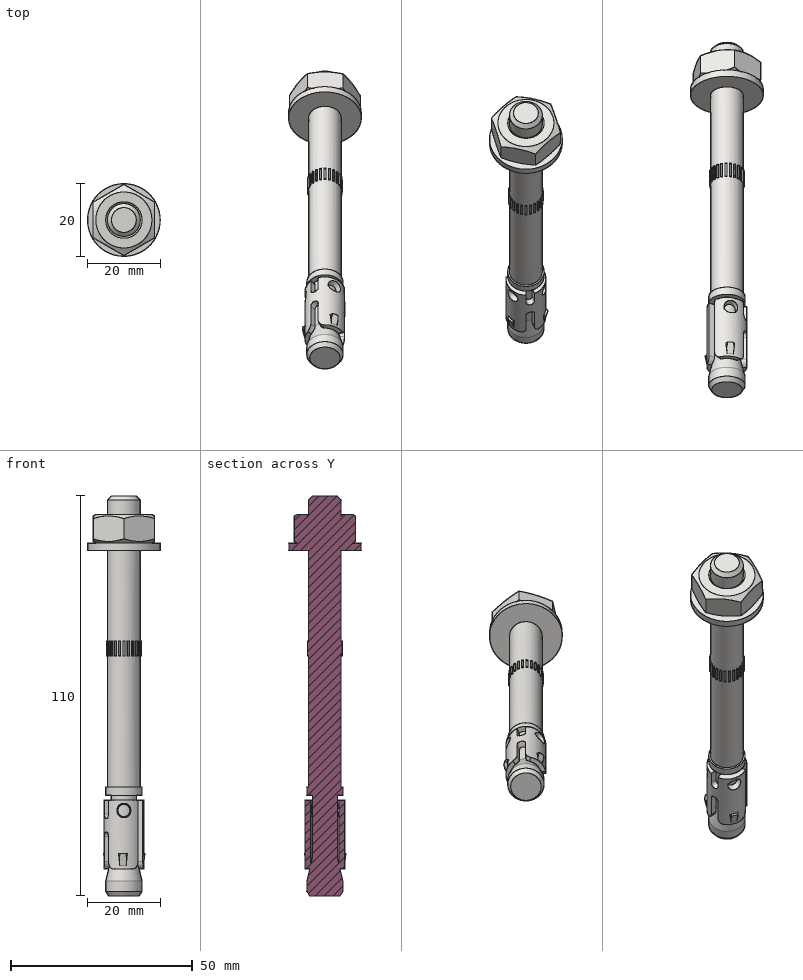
import cadquery as cq
import math


LENGTH = 110.0
SHANK_R = 9.0 / 2
TIP_CHAMFER = 1.1
NECK_R = 7.0 / 2
COLLAR_R = 10.0 / 2
COLLAR_BOTTOM = 27.7
COLLAR_TOP = 30.0
FOOT_CHAMFER_R = 4.2
FOOT_CHAMFER_TOP = 1.3
FOOT_TOP = 4.2
CONE_TOP = 10.5

MARK_BOTTOM = 66.0
MARK_TOP = 70.2
MARK_R = 9.7 / 2
RIB_COUNT = 24
RIB_WIDTH = 0.5

SLEEVE_R = 5.5
BORE_R = 3.8
SLEEVE_BOTTOM = 7.5
SLEEVE_TOP = 26.4
SPLIT_ANGLE = 327.5
SEGMENTS = 3
SLOT_PITCH = 360 / SEGMENTS
HOLE_TURN = 2.5
BRIDGED_SLOT_ANGLES = (SPLIT_ANGLE - SLOT_PITCH, SPLIT_ANGLE - 2 * SLOT_PITCH)
LUG_ANGLES = [SPLIT_ANGLE + SLOT_PITCH * (i + 0.5) for i in range(SEGMENTS)]
HOLE_ANGLES = [angle + HOLE_TURN for angle in LUG_ANGLES]
SLOT_WIDTH = 2.4
CUT_TAPER = 10
MOUTH_RUNOUT = 1.1
BRIDGE_BOTTOM = 17.6
BRIDGE_TOP = 21.3
CORNER_R = 2.0
HOLE_D = 4.0
HOLE_Z = 23.5

LUG_R = 6.2
LUG_TOP = 11.7
LUG_BOTTOM = 8.4
LUG_TOP_WIDTH = 2.4
LUG_BOTTOM_WIDTH = 1.8
LUG_FACE_WIDTH = 1.5

WASHER_R = 20.0 / 2
WASHER_BOTTOM = 94.9
WASHER_TOP = 97.0
NUT_TOP = 104.9
NUT_FLATS = 16.9
NUT_FACE_R = 15.4 / 2
NUT_CHAMFER_ANGLE = 30
NUT_TURN = 30
COUNTERSINK_R = 10.0 / 2

OVERLAP = 0.5


def cylinder(radius, bottom, top):
    return cq.Workplane("XY").workplane(offset=bottom).circle(radius).extrude(top - bottom)


def turned(points):
    """Solid of revolution about Z from (radius, height) points."""
    return cq.Workplane("XZ").polyline(points).close().revolve(360, (0, 0), (0, 1))


def sleeve_plane(angle):
    """Plane touching the sleeve at the angle: local x runs sideways, local y is height, normal points in."""
    a = math.radians(angle)
    out_x = math.cos(a)
    out_y = math.sin(a)
    return cq.Workplane(cq.Plane(
        origin=(SLEEVE_R * out_x, SLEEVE_R * out_y, 0),
        xDir=(out_y, -out_x, 0),
        normal=(-out_x, -out_y, 0),
    ))


def bolt():
    return turned([
        (0, 0),
        (FOOT_CHAMFER_R, 0),
        (COLLAR_R, FOOT_CHAMFER_TOP),
        (COLLAR_R, FOOT_TOP),
        (NECK_R, CONE_TOP),
        (NECK_R, COLLAR_BOTTOM),
        (COLLAR_R, COLLAR_BOTTOM),
        (COLLAR_R, COLLAR_TOP),
        (SHANK_R, COLLAR_TOP),
        (SHANK_R, LENGTH - TIP_CHAMFER),
        (SHANK_R - TIP_CHAMFER, LENGTH),
        (0, LENGTH),
    ])


def setting_mark():
    return (
        cq.Workplane("XY", origin=(0, 0, MARK_BOTTOM))
        .polarArray(SHANK_R, 0, 360, RIB_COUNT)
        .rect(2 * (MARK_R - SHANK_R), RIB_WIDTH)
        .extrude(MARK_TOP - MARK_BOTTOM)
    )


def slot_outline(angle, bottom, top):
    """Straight sided slot outline on the sleeve surface, started up its left side."""
    half = SLOT_WIDTH / 2
    return sleeve_plane(angle).moveTo(-half, bottom).lineTo(-half, top)


def through_sleeve(outline):
    """Cut inward from the sleeve surface to just past the bore, narrowing with depth."""
    return outline.extrude(SLEEVE_R - BORE_R + OVERLAP, taper=CUT_TAPER)


def close_with_mouth(outline):
    """Finish an outline at its right side with the rounded, flared mouth at the sleeve bottom."""
    half = SLOT_WIDTH / 2
    flare = half + CORNER_R
    corner_z = SLEEVE_BOTTOM + CORNER_R
    arc_mid = CORNER_R * math.sqrt(0.5)
    return (
        outline
        .lineTo(half, corner_z)
        .threePointArc((flare - arc_mid, corner_z - arc_mid), (flare, SLEEVE_BOTTOM))
        .lineTo(flare, SLEEVE_BOTTOM - MOUTH_RUNOUT)
        .lineTo(-flare, SLEEVE_BOTTOM - MOUTH_RUNOUT)
        .lineTo(-flare, SLEEVE_BOTTOM)
        .threePointArc((-flare + arc_mid, corner_z - arc_mid), (-half, corner_z))
        .close()
    )


def split():
    half = SLOT_WIDTH / 2
    top = SLEEVE_TOP + MOUTH_RUNOUT
    outline = slot_outline(SPLIT_ANGLE, SLEEVE_BOTTOM + CORNER_R, top).lineTo(half, top)
    return through_sleeve(close_with_mouth(outline))


def lower_slot(angle):
    half = SLOT_WIDTH / 2
    end_z = BRIDGE_BOTTOM - half
    outline = slot_outline(angle, SLEEVE_BOTTOM + CORNER_R, end_z)
    outline = outline.threePointArc((0, BRIDGE_BOTTOM), (half, end_z))
    return through_sleeve(close_with_mouth(outline))


def upper_slot(angle):
    half = SLOT_WIDTH / 2
    end_z = BRIDGE_TOP + half
    top = SLEEVE_TOP + MOUTH_RUNOUT
    outline = slot_outline(angle, end_z, top).lineTo(half, top).lineTo(half, end_z)
    return through_sleeve(outline.threePointArc((0, BRIDGE_TOP), (-half, end_z)).close())


def segment_hole(angle):
    return through_sleeve(sleeve_plane(angle).center(0, HOLE_Z).circle(HOLE_D / 2))


def lug(angle):
    """Lug standing out at its top and running down into the sleeve."""
    face = (
        sleeve_plane(angle)
        .polyline([
            (-LUG_TOP_WIDTH / 2, LUG_TOP),
            (LUG_TOP_WIDTH / 2, LUG_TOP),
            (LUG_BOTTOM_WIDTH / 2, LUG_BOTTOM),
            (-LUG_BOTTOM_WIDTH / 2, LUG_BOTTOM),
        ])
        .close()
        .extrude(LUG_R - SLEEVE_R + OVERLAP, both=True)
    )
    root_r = SLEEVE_R - OVERLAP
    taper = turned([(root_r, LUG_BOTTOM), (SLEEVE_R, LUG_BOTTOM), (LUG_R, LUG_TOP), (root_r, LUG_TOP)])
    inner_half = LUG_TOP_WIDTH / 2
    outer_half = LUG_FACE_WIDTH / 2
    flanks = (
        cq.Workplane("XY", origin=(0, 0, LUG_BOTTOM))
        .polyline([
            (0, -inner_half),
            (SLEEVE_R, -inner_half),
            (LUG_R, -outer_half),
            (LUG_R, outer_half),
            (SLEEVE_R, inner_half),
            (0, inner_half),
        ])
        .close()
        .extrude(LUG_TOP - LUG_BOTTOM)
        .rotate((0, 0, 0), (0, 0, 1), angle)
    )
    return face.intersect(taper).intersect(flanks)


def sleeve():
    body = cylinder(SLEEVE_R, SLEEVE_BOTTOM, SLEEVE_TOP).cut(cylinder(BORE_R, SLEEVE_BOTTOM, SLEEVE_TOP))
    body = body.cut(split())
    for angle in BRIDGED_SLOT_ANGLES:
        body = body.cut(lower_slot(angle)).cut(upper_slot(angle))
    for angle in HOLE_ANGLES:
        body = body.cut(segment_hole(angle))
    for angle in LUG_ANGLES:
        body = body.union(lug(angle))
    return body


def nut():
    corner_r = NUT_FLATS / math.sqrt(3)
    chamfer = (corner_r - NUT_FACE_R) * math.tan(math.radians(NUT_CHAMFER_ANGLE))
    hexagon = (
        cq.Workplane("XY", origin=(0, 0, WASHER_TOP))
        .polygon(6, 2 * corner_r)
        .extrude(NUT_TOP - WASHER_TOP)
        .rotate((0, 0, 0), (0, 0, 1), NUT_TURN)
    )
    countersink = COUNTERSINK_R - SHANK_R
    envelope = turned([
        (0, WASHER_TOP),
        (NUT_FACE_R, WASHER_TOP),
        (corner_r, WASHER_TOP + chamfer),
        (corner_r, NUT_TOP - chamfer),
        (NUT_FACE_R, NUT_TOP),
        (COUNTERSINK_R, NUT_TOP),
        (SHANK_R, NUT_TOP - countersink),
        (0, NUT_TOP - countersink),
    ])
    return hexagon.intersect(envelope)


result = (
    sleeve()
    .union(bolt())
    .union(setting_mark())
    .union(cylinder(WASHER_R, WASHER_BOTTOM, WASHER_TOP))
    .union(nut())
)